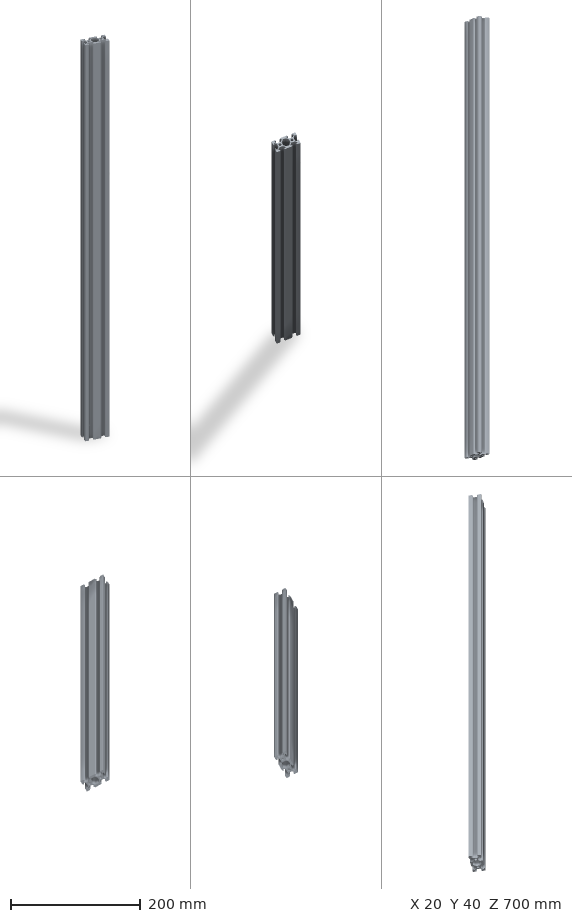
import cadquery as cq
import math

LENGTH = 700.0
MODULE = LENGTH / 35
HALF = MODULE / 2
BORE_DIAMETER = 4.0
CORNER_RADIUS = 1.0

SLOT_OPENING = 6.0
MOUTH_WIDTH = 9.0
LIP_THICKNESS = 1.8
SLOT_INNER_WIDTH = 11.0
SLOT_DEPTH = 6.0
GROOVE_WIDTH = 1.0
WEB_THICKNESS = 1.5

CAVITY_HALF_WIDTH = 6.4
CAVITY_END_HALF_WIDTH = 3.0
CAVITY_HALF_LENGTH = SLOT_DEPTH


def prism(outline):
    """Extrude a closed XY outline over the full length of the rail."""
    return cq.Workplane("XY").polyline(outline).close().extrude(LENGTH)


def slot(centre_y, angle):
    """Solid filling one slot of the module centred at `centre_y`; angle 0 opens toward +X."""
    floor = HALF - SLOT_DEPTH
    lip = HALF - LIP_THICKNESS
    mouth = MOUTH_WIDTH / 2
    throat = SLOT_OPENING / 2
    throat_face = HALF - (mouth - throat)
    shoulder = SLOT_INNER_WIDTH / 2
    groove = GROOVE_WIDTH / 2
    web_offset = WEB_THICKNESS / math.sqrt(2)
    upper = [
        (HALF, mouth),
        (throat_face, throat),
        (lip, throat),
        (lip, shoulder),
        (shoulder + web_offset, shoulder),
        (floor, floor - web_offset),
        (floor, groove),
    ]
    groove_tip = [(floor - groove, 0)]
    lower = [(x, -y) for x, y in reversed(upper)]
    filled = prism(upper + groove_tip + lower)
    return filled.rotate((0, 0, 0), (0, 0, 1), angle).translate((0, centre_y, 0))


def middle_cavity():
    """Solid filling the hollow between the two cores, tapered at 45 degrees toward each core."""
    taper = CAVITY_HALF_WIDTH - CAVITY_END_HALF_WIDTH
    side_end = CAVITY_HALF_LENGTH - taper
    right = [
        (CAVITY_END_HALF_WIDTH, -CAVITY_HALF_LENGTH),
        (CAVITY_HALF_WIDTH, -side_end),
        (CAVITY_HALF_WIDTH, side_end),
        (CAVITY_END_HALF_WIDTH, CAVITY_HALF_LENGTH),
    ]
    left = [(-x, -y) for x, y in right]
    return prism(right + left)


rail = cq.Workplane("XY").rect(MODULE, 2 * MODULE).extrude(LENGTH)
rail = rail.edges("|Z").fillet(CORNER_RADIUS)

for y_side in (-1, 1):
    for angle in (0, 180, 90 * y_side):
        rail = rail.cut(slot(y_side * HALF, angle))

rail = rail.cut(middle_cavity())

bore_centres = [(0, -HALF), (0, HALF)]
bores = cq.Workplane("XY").pushPoints(bore_centres).circle(BORE_DIAMETER / 2).extrude(LENGTH)
result = rail.cut(bores)